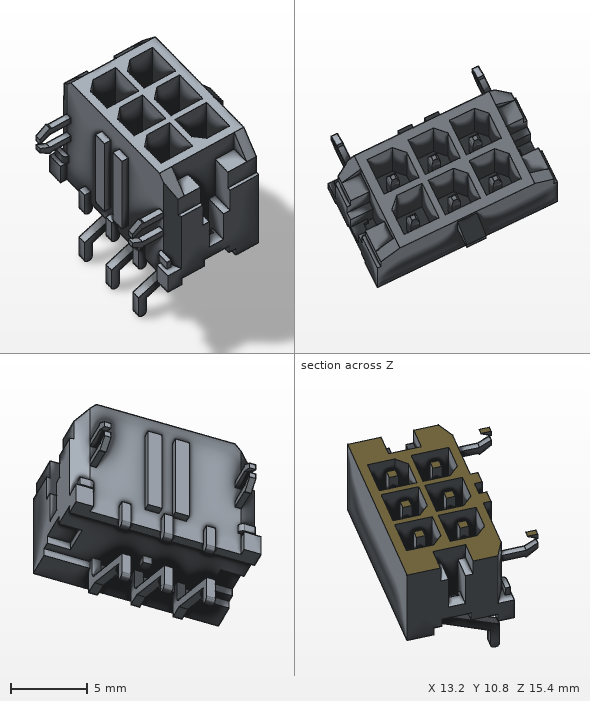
import cadquery as cq


height = 9.9
depth = 6.87
core_half = 4.93
flange_half = 6.58
flange_top_half = 6.33
flange_step_z = 6.71
shoulder_z = 8.27
rear_fin = 0.79
front_fin = 1.0
corner_start = 5.36
corner_depth = 0.6
foot_height = 1.6
foot_reach = 0.52
arch_height = 0.62
front_wall = 0.62
arch_back = 5.0

recess_front, recess_back, recess_z = 2.33, 4.55, 4.73
slot_front, slot_back, slot_z = 2.85, 4.0, 2.22
notch_front, notch_back, notch_z = 2.45, 4.45, 1.25
keyway_width = 0.8
keyway_half = 5.68
keyway_floor = 1.6

pitch = 3.0
columns = [-pitch, 0, pitch]
front_row_y = 1.9
rear_row_y = front_row_y + pitch
cavity_size = 2.55
cavity_chamfer = 0.71
cavity_floor = 1.85
wire = 0.63
pin_top = 6.93
pin_taper = 0.7
pin_tip = 0.31
tail_front = -foot_reach
tail_back = tail_front + wire
front_tail_top = 1.19
front_tail_z = -0.82
overall_height = 15.4
tip_z = height - overall_height
tip_round = 0.3
bend_radius = 0.46
rear_tail_back = 5.24
heel_y, heel_z = 4.2, -2.0
bend_z = -1.15
slope_end_top_z = -3.51
slope_end_under_z = -3.93

latch_width = 1.42
latch_start_z = 9.36
catch_y = depth + 1.37
catch_top_z = 7.75
catch_under_z = 6.95
latch_blend = 0.62
rib_inner, rib_outer = 0.48, 1.46
post_width = 0.63

clip_thickness = 0.45
prong_mid_z = 5.3
prong_root = front_wall
shank_end, barb_y, prong_tip = -1.55, -1.71, -2.53
prong_top, prong_bottom = 6.44, 5.93
barb_top, tip_bottom = 6.55, 5.5
tab_inner, tab_outer = 5.13, 6.24
tab_thickness = 0.35
tab_bottom, tab_top = 1.86, 2.51
tab_bend = 0.34


def block(x0, x1, y0, y1, z0, z1):
    """Box between two opposite corners."""
    return cq.Workplane("XY").box(x1 - x0, y1 - y0, z1 - z0, centered=False).translate((x0, y0, z0))


def slab(sketch, x_center, width):
    """Extrude a YZ profile symmetrically about a given X."""
    return sketch.extrude(width / 2, both=True).translate((x_center, 0, 0))


def profile(points):
    """Closed YZ outline through (Y, Z) points."""
    return cq.Workplane("YZ").polyline(points).close()


def with_mirror(shape):
    """Shape joined with its mirror image across X = 0."""
    return shape.union(shape.mirror("YZ"))


def end_flange():
    """Right-hand flange: fins, slanted front corner, foot and clip pocket."""
    outline = [
        (0, 0),
        (flange_half, 0),
        (flange_half, flange_step_z),
        (flange_top_half, flange_step_z),
        (flange_top_half, shoulder_z),
        (core_half, height),
        (0, height),
    ]
    flange = cq.Workplane("XZ").polyline(outline).close().extrude(-depth)
    flange = flange.cut(block(core_half, flange_half, front_fin, depth - rear_fin, shoulder_z, height))

    corner = [(corner_start, 0), (flange_half, 0), (flange_half, corner_depth)]
    flange = flange.cut(
        cq.Workplane("XY").workplane(offset=foot_height).polyline(corner).close().extrude(height)
    )
    flange = flange.union(block(corner_start, flange_half, -foot_reach, front_wall, 0, foot_height))

    slot_mid = (slot_front + slot_back) / 2
    keyway_front = slot_mid - keyway_width / 2
    keyway_back = slot_mid + keyway_width / 2
    flange = flange.cut(block(core_half, flange_half, recess_front, recess_back, recess_z, height))
    flange = flange.cut(block(core_half, flange_half, slot_front, slot_back, slot_z, height))
    flange = flange.cut(block(core_half, flange_half, notch_front, notch_back, 0, notch_z))
    flange = flange.cut(block(core_half, corner_start, slot_front, slot_back, keyway_floor, slot_z))
    return flange.cut(
        block(core_half, keyway_half, keyway_front, keyway_back, keyway_floor, slot_z)
    )


def cavity(x, y, key_side):
    """Square cavity with one front corner cut off on the keyed side (-1 left, +1 right)."""
    pocket = block(
        x - cavity_size / 2, x + cavity_size / 2,
        y - cavity_size / 2, y + cavity_size / 2,
        cavity_floor, height,
    )
    key_edge = cq.selectors.NearestToPointSelector(
        (x + key_side * cavity_size / 2, y - cavity_size / 2, (cavity_floor + height) / 2)
    )
    return pocket.edges("|Z").edges(key_edge).chamfer(cavity_chamfer)


def latch():
    """Catch on the rear face, blended into it by a concave round."""
    side = (
        cq.Workplane("YZ")
        .moveTo(depth, latch_start_z)
        .lineTo(catch_y, catch_top_z)
        .lineTo(catch_y, catch_under_z)
        .lineTo(depth + latch_blend, catch_under_z)
        .radiusArc((depth, catch_under_z - latch_blend), -latch_blend)
        .close()
    )
    return slab(side, 0, latch_width)


def contact_pin(x, y):
    """Upright pin with a pyramid point."""
    straight_top = pin_top - pin_taper
    pin = block(x - wire / 2, x + wire / 2, y - wire / 2, y + wire / 2, arch_height, straight_top)
    point = (
        cq.Workplane("XY", origin=(x, y, straight_top))
        .rect(wire, wire)
        .workplane(offset=pin_taper)
        .rect(pin_tip, pin_tip)
        .loft()
    )
    return pin.union(point)


def front_tail(x):
    """Tail of a front-row terminal, coming out of the front face and turning down."""
    left, right = x - wire / 2, x + wire / 2
    tail = block(left, right, tail_front, tail_back, front_tail_z, front_tail_top)
    tail = tail.edges("<Z and |X").fillet(tip_round)
    return tail.union(block(left, right, tail_front, front_row_y, arch_height, front_tail_top))


def rear_tail(x):
    """Tail of a rear-row terminal, sloping forward below the housing."""
    inner = rear_tail_back - wire
    points = [
        (rear_tail_back, arch_height),
        (rear_tail_back, heel_z),
        (heel_y, heel_z),
        (tail_back, slope_end_under_z),
        (tail_back, tip_z),
        (tail_front, tip_z),
        (tail_front, slope_end_top_z),
        (inner, bend_z),
        (inner, arch_height),
    ]
    tail = slab(profile(points), x, wire)
    inner_bend = cq.selectors.NearestToPointSelector((x, inner, bend_z))
    tail = tail.edges("|X").edges(inner_bend).fillet(bend_radius)
    return tail.edges("<Z and |X").fillet(tip_round)


def clip():
    """Right-hand board-lock clip: two barbed prongs and a bent tab."""
    prong_points = [
        (prong_root, prong_top),
        (shank_end, prong_top),
        (barb_y, barb_top),
        (prong_tip, prong_bottom),
        (prong_tip, tip_bottom),
        (barb_y, prong_bottom),
        (prong_root, prong_bottom),
    ]
    upper = slab(profile(prong_points), core_half + clip_thickness / 2, clip_thickness)
    lower = upper.mirror("XY", (0, 0, prong_mid_z))

    tab = block(tab_inner, tab_outer, -tab_thickness, 0, tab_bottom, tab_top)
    tab = tab.edges("<X and <Y").fillet(tab_bend)
    return upper.union(lower).union(tab)


result = with_mirror(end_flange())
result = result.cut(block(-flange_half, flange_half, front_wall, arch_back, 0, arch_height))
result = result.union(with_mirror(block(rib_inner, rib_outer, -foot_reach, 0, foot_height, shoulder_z)))
result = result.union(latch())
result = result.union(
    block(
        -post_width / 2, post_width / 2,
        (depth - post_width) / 2, (depth + post_width) / 2,
        0, arch_height,
    )
)
for x in columns:
    for y in (front_row_y, rear_row_y):
        keyed_right = x > 0 and y == rear_row_y
        result = result.cut(cavity(x, y, 1 if keyed_right else -1))

for x in columns:
    for y in (front_row_y, rear_row_y):
        result = result.union(contact_pin(x, y))
    result = result.union(front_tail(x)).union(rear_tail(x))

result = result.union(with_mirror(clip()))